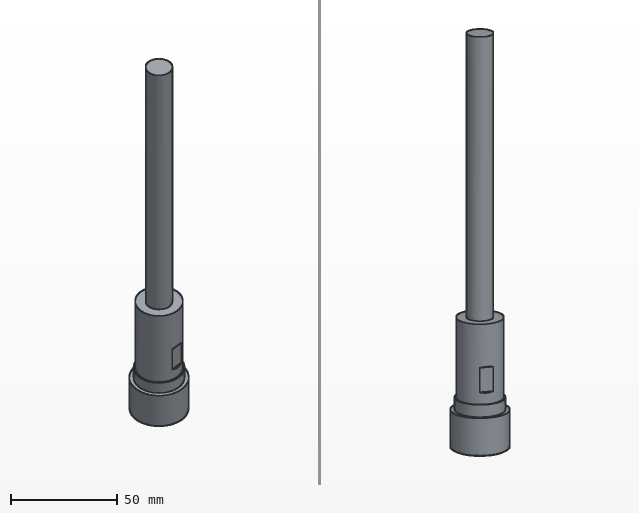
import cadquery as cq
import math

total_length = 204.5
body_top = 64.5
collar_top = 25.0
head_top = 19.0

rod_diameter = 12.7
body_diameter = 22.5
collar_diameter = 24.0
head_diameter = 28.0

base_chamfer_width = 1.2
base_chamfer_angle = 30
base_chamfer_height = base_chamfer_width * math.tan(math.radians(base_chamfer_angle))

flat_spacing = 21.5
flat_height = 12.0
flat_bottom = 31.0


def section(diameter, bottom, top):
    """Round section of the part between two levels on the Z axis."""
    return cq.Workplane("XY").workplane(offset=bottom).circle(diameter / 2).extrude(top - bottom)


def flat_cutter(side):
    """Wedge-ended block that removes one wrench flat; side is -1 for -X and +1 for +X."""
    depth = (body_diameter - flat_spacing) / 2
    inner_x = side * flat_spacing / 2
    outer_x = side * body_diameter / 2
    flat_top = flat_bottom + flat_height
    outline = [
        (inner_x, flat_bottom),
        (inner_x, flat_top),
        (outer_x, flat_top + depth),
        (outer_x, flat_bottom - depth),
    ]
    return cq.Workplane("XZ").polyline(outline).close().extrude(body_diameter / 2, both=True)


head = section(head_diameter, 0, head_top).faces("<Z").chamfer(base_chamfer_height, base_chamfer_width)
collar = section(collar_diameter, head_top, collar_top)
body = section(body_diameter, collar_top, body_top)
rod = section(rod_diameter, body_top, total_length)

for side in (-1, 1):
    body = body.cut(flat_cutter(side))

result = head.union(collar).union(body).union(rod)